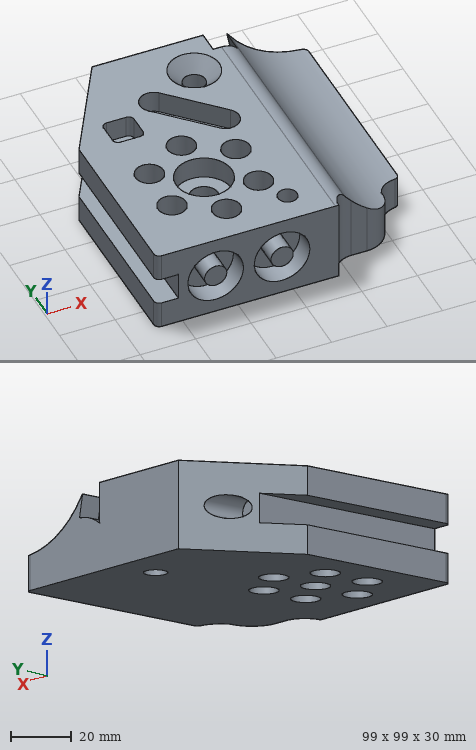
import cadquery as cq
import math

LENGTH = 99.0
WIDTH = 99.0
HEIGHT = 30.0
MID_HEIGHT = HEIGHT / 2

CHAMFER_X = 21.6
CHAMFER_ANGLE = 60.0
CHAMFER_Y = WIDTH - CHAMFER_X * math.tan(math.radians(CHAMFER_ANGLE))
CORNER_RADIUS = 2.0
STEP_X = 65.9
STEP_RADIUS = 8.0
NOSE_RADIUS = 10.0
NOSE_X = 89.7
SHOULDER_Y = 24.9
SCOOP_START_Y = 18.8
SCOOP_RADIUS = 10.0

SHOULDER_X = 64.6
SHOULDER_RADIUS = 8.0
FLANK_RADIUS = 35.0
FLANK_BOTTOM_Z = 12.0

SIDE_SLOT_DEPTH = 8.0
SIDE_SLOT_HEIGHT = 10.0

POCKET_DEPTH = 8.0
PATTERN_CENTER = (31.5, 31.5)
PATTERN_RADIUS = 18.0
PATTERN_COUNT = 6
THROUGH_DIAMETER = 10.0
COUNTERBORE_DIAMETER = 20.0
SINK_CENTER = (51.5, 83.5)
SINK_DIAMETER = 18.0
SINK_HOLE_DIAMETER = 8.0
SINK_ANGLE = 90.0
SMALL_HOLE_CENTER = (52.6, 11.5)
SMALL_HOLE_DIAMETER = 6.8
SLOT_CENTER = (41.5, 65.1)
SLOT_SPACING = 25.0
SLOT_WIDTH = 10.0
SLOT_ANGLE = -45.0
SQUARE_CENTER = (17.5, 64.9)
SQUARE_SIDE = 11.0
SQUARE_RADIUS = 2.0

RING_CENTERS_X = (21.5, 45.4)
RING_DIAMETER = 20.0
PIN_DIAMETER = 8.0
RING_DEPTH = 8.0

BORE_X = 13.3
BORE_DIAMETER = 8.0
BORE_END_Y = 74.9

NOTCH_LEFT_X = 61.7
NOTCH_LENGTH = 8.0
NOTCH_FLOOR_CENTER = (73.3, 0.0)
NOTCH_FLOOR_RADIUS = 20.0
NOTCH_WALL_TOP_X = 69.8
NOTCH_WALL_BOTTOM_X = 71.8


def arc_midpoint(center, start, end):
    """Point halfway along the shorter arc from start to end."""
    dx = (start[0] + end[0]) / 2 - center[0]
    dy = (start[1] + end[1]) / 2 - center[1]
    radius = math.hypot(start[0] - center[0], start[1] - center[1])
    scale = radius / math.hypot(dx, dy)
    return (center[0] + dx * scale, center[1] + dy * scale)


def plan_body():
    nose_start = (NOSE_X - NOSE_RADIUS, STEP_RADIUS)
    nose_center = (nose_start[0], STEP_RADIUS + NOSE_RADIUS)
    nose_end = (NOSE_X, nose_center[1])
    step_center = (STEP_X + STEP_RADIUS, 0)
    step_start = (STEP_X, 0)
    step_end = (step_center[0], STEP_RADIUS)
    body = (
        cq.Workplane("XY")
        .moveTo(0, 0)
        .lineTo(*step_start)
        .threePointArc(arc_midpoint(step_center, step_start, step_end), step_end)
        .lineTo(*nose_start)
        .threePointArc(arc_midpoint(nose_center, nose_start, nose_end), nose_end)
        .lineTo(NOSE_X, SCOOP_START_Y)
        .radiusArc((LENGTH, SHOULDER_Y), SCOOP_RADIUS)
        .lineTo(LENGTH, WIDTH)
        .lineTo(CHAMFER_X, WIDTH)
        .lineTo(0, CHAMFER_Y)
        .close()
        .extrude(HEIGHT)
    )
    for corner in ((0, 0), (LENGTH, WIDTH), (LENGTH, SHOULDER_Y)):
        edge = cq.selectors.NearestToPointSelector((*corner, MID_HEIGHT))
        body = body.edges("|Z").edges(edge).fillet(CORNER_RADIUS)
    return body


def swept_profile():
    shoulder_center = (SHOULDER_X, HEIGHT - SHOULDER_RADIUS)
    flank_z = FLANK_BOTTOM_Z + FLANK_RADIUS
    center_gap = SHOULDER_RADIUS + FLANK_RADIUS
    rise = flank_z - shoulder_center[1]
    run = math.sqrt(center_gap**2 - rise**2)
    flank_center = (SHOULDER_X + run, flank_z)
    blend = SHOULDER_RADIUS / center_gap
    tangent_point = (SHOULDER_X + run * blend, shoulder_center[1] + rise * blend)
    crest = (SHOULDER_X, HEIGHT)
    flank_end = (flank_center[0], FLANK_BOTTOM_Z)
    return (
        cq.Workplane("XZ")
        .moveTo(0, 0)
        .lineTo(0, HEIGHT)
        .lineTo(*crest)
        .threePointArc(arc_midpoint(shoulder_center, crest, tangent_point), tangent_point)
        .threePointArc(arc_midpoint(flank_center, tangent_point, flank_end), flank_end)
        .lineTo(flank_end[0], 0)
        .close()
        .extrude(-WIDTH)
    )


def top_sketch(center):
    return cq.Workplane("XY", origin=(*center, HEIGHT))


def cut_top_features(body):
    holes = (
        top_sketch(PATTERN_CENTER)
        .polarArray(PATTERN_RADIUS, 90, 360, PATTERN_COUNT)
        .circle(THROUGH_DIAMETER / 2)
        .extrude(-HEIGHT)
    )
    center_hole = top_sketch(PATTERN_CENTER).circle(THROUGH_DIAMETER / 2).extrude(-HEIGHT)
    counterbore = top_sketch(PATTERN_CENTER).circle(COUNTERBORE_DIAMETER / 2).extrude(-POCKET_DEPTH)
    small_hole = top_sketch(SMALL_HOLE_CENTER).circle(SMALL_HOLE_DIAMETER / 2).extrude(-POCKET_DEPTH)
    slot = (
        top_sketch(SLOT_CENTER)
        .slot2D(SLOT_SPACING + SLOT_WIDTH, SLOT_WIDTH, SLOT_ANGLE)
        .extrude(-POCKET_DEPTH)
    )
    square = (
        top_sketch(SQUARE_CENTER)
        .rect(SQUARE_SIDE, SQUARE_SIDE)
        .extrude(-POCKET_DEPTH)
        .edges("|Z")
        .fillet(SQUARE_RADIUS)
    )
    for cutter in (holes, center_hole, counterbore, small_hole, slot, square):
        body = body.cut(cutter)
    return body


def countersunk_hole():
    hole = top_sketch(SINK_CENTER).circle(SINK_HOLE_DIAMETER / 2).extrude(-HEIGHT)
    sink_depth = (SINK_DIAMETER - SINK_HOLE_DIAMETER) / 2 / math.tan(math.radians(SINK_ANGLE / 2))
    cone = cq.Solid.makeCone(
        SINK_DIAMETER / 2,
        SINK_HOLE_DIAMETER / 2,
        sink_depth,
        pnt=cq.Vector(*SINK_CENTER, HEIGHT),
        dir=cq.Vector(0, 0, -1),
    )
    return hole.union(cq.Workplane(cone))


def side_slot():
    return cq.Workplane("XY", origin=(0, 0, MID_HEIGHT)).box(
        SIDE_SLOT_DEPTH, WIDTH, SIDE_SLOT_HEIGHT, centered=(False, False, True)
    )


def ring_recesses():
    return (
        cq.Workplane("XZ")
        .pushPoints([(x, MID_HEIGHT) for x in RING_CENTERS_X])
        .circle(RING_DIAMETER / 2)
        .circle(PIN_DIAMETER / 2)
        .extrude(-RING_DEPTH)
    )


def chamfer_bore():
    return (
        cq.Workplane("XZ", origin=(BORE_X, BORE_END_Y, MID_HEIGHT))
        .circle(BORE_DIAMETER / 2)
        .extrude(BORE_END_Y - WIDTH)
    )


def notch_floor_point(x):
    """Point on the convex arc of the notch floor at a given x."""
    center_x, center_z = NOTCH_FLOOR_CENTER
    return (x, center_z + math.sqrt(NOTCH_FLOOR_RADIUS**2 - (x - center_x) ** 2))


def arched_notch():
    floor_left = notch_floor_point(NOTCH_LEFT_X)
    floor_right = notch_floor_point(NOTCH_WALL_BOTTOM_X)
    floor_middle = arc_midpoint(NOTCH_FLOOR_CENTER, floor_left, floor_right)
    return (
        cq.Workplane("XZ", origin=(0, WIDTH - NOTCH_LENGTH, 0))
        .moveTo(*floor_left)
        .threePointArc(floor_middle, floor_right)
        .lineTo(NOTCH_WALL_TOP_X, HEIGHT)
        .lineTo(NOTCH_LEFT_X, HEIGHT)
        .close()
        .extrude(-NOTCH_LENGTH)
    )


result = plan_body().intersect(swept_profile())
result = cut_top_features(result)
result = result.cut(countersunk_hole())
result = result.cut(side_slot())
result = result.cut(ring_recesses())
result = result.cut(chamfer_bore())
result = result.cut(arched_notch())